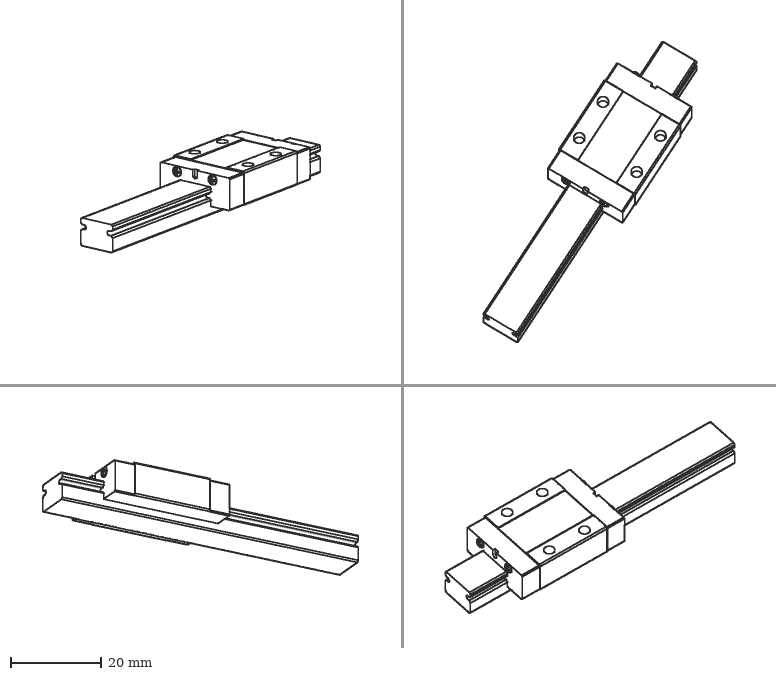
import cadquery as cq
import math


rail_length = 75.0
rail_width = 9.0
rail_height = 6.5
rail_top_chamfer = 0.4
rail_foot_chamfer = 0.4
groove_height = 4.4
groove_radius = 0.5
groove_tip = 3.0
groove_lip = 0.45

carriage_center = 12.5
carriage_bottom = 2.0
steel_length = 19.05
steel_width = 20.0
steel_top = 10.0
steel_chamfer = 0.4
panel_width = 10.05
panel_depth = 0.2
cap_length = 29.0
cap_width = 19.6
cap_top = 9.6
cap_chamfer = 0.26

mount_diameter = 2.5
mount_depth = 3.0
mount_spacing_x = 15.0
mount_spacing_y = 10.0
drill_angle = 118.0

notch_width = 1.2
notch_depth = 0.6
notch_bottom = 7.65

screw_spacing = 10.0
screw_height = 8.3
head_diameter = 2.25
head_rise = 0.7
rim_rise = 0.15
cross_length = 1.65
cross_width = 0.4
cross_depth = 0.4


def rail_section():
    """Rail outline on the XZ plane, with a rounded ball groove in each side."""
    side = rail_width / 2
    arc_center = groove_tip + groove_radius
    groove_top = groove_height + groove_radius
    groove_floor = groove_height - groove_radius
    return (
        cq.Workplane("XZ")
        .moveTo(0, 0)
        .lineTo(side - rail_foot_chamfer, 0)
        .lineTo(side, rail_foot_chamfer)
        .lineTo(side, groove_floor - groove_lip)
        .lineTo(side - groove_lip, groove_floor)
        .lineTo(arc_center, groove_floor)
        .threePointArc((groove_tip, groove_height), (arc_center, groove_top))
        .lineTo(side - groove_lip, groove_top)
        .lineTo(side, groove_top + groove_lip)
        .lineTo(side, rail_height - rail_top_chamfer)
        .lineTo(side - rail_top_chamfer, rail_height)
        .lineTo(0, rail_height)
        .mirrorY()
    )


def make_rail():
    return rail_section().extrude(rail_length / 2, both=True)


def chamfered_bar(width, length, top, chamfer):
    """Bar along Y that stands on the carriage underside, with its long edges chamfered."""
    return (
        cq.Workplane("XY")
        .box(width, length, top - carriage_bottom, centered=(True, True, False))
        .edges("|Y")
        .chamfer(chamfer)
        .translate((0, carriage_center, carriage_bottom))
    )


def sunken_panel():
    return (
        cq.Workplane("XY", origin=(0, carriage_center, steel_top - panel_depth))
        .rect(panel_width, steel_length)
        .extrude(panel_depth)
    )


def mounting_holes():
    """Four blind holes with drill-point bottoms."""
    radius = mount_diameter / 2
    point_depth = radius / math.tan(math.radians(drill_angle / 2))
    hole = (
        cq.Workplane("XZ")
        .polyline([(0, 0), (radius, 0), (radius, -mount_depth), (0, -mount_depth - point_depth)])
        .close()
        .revolve(360, (0, 0, 0), (0, 1, 0))
        .val()
    )
    return (
        cq.Workplane("XY", origin=(0, carriage_center, steel_top))
        .rect(mount_spacing_x, mount_spacing_y, forConstruction=True)
        .vertices()
        .eachpoint(lambda place: hole.moved(place))
    )


def end_notch(end_face, outward):
    """Notch with a round bottom, open to the top of the end cap."""
    radius = notch_width / 2
    arc_height = notch_bottom + radius
    notch = (
        cq.Workplane("XZ", origin=(0, end_face, 0))
        .moveTo(-radius, cap_top)
        .lineTo(-radius, arc_height)
        .threePointArc((0, notch_bottom), (radius, arc_height))
        .lineTo(radius, cap_top)
        .close()
    )
    return notch.extrude(outward * notch_depth)


def screw_head(x, end_face, outward):
    """Domed head with a cross recess, standing out from an end face."""
    radius = head_diameter / 2
    dome_rise = head_rise - rim_rise
    dome_radius = (radius**2 + dome_rise**2) / (2 * dome_rise)
    arc_x = radius / 2
    arc_rise = head_rise - dome_radius + math.sqrt(dome_radius**2 - arc_x**2)
    head = (
        cq.Workplane("XY")
        .moveTo(0, 0)
        .lineTo(radius, 0)
        .lineTo(radius, outward * rim_rise)
        .threePointArc((arc_x, outward * arc_rise), (0, outward * head_rise))
        .close()
        .revolve(360, (0, 0, 0), (0, 1, 0))
    )
    recess_middle = outward * (head_rise - cross_depth / 2)
    for arm_x, arm_z in ((cross_length, cross_width), (cross_width, cross_length)):
        arm = cq.Workplane("XY").box(arm_x, cross_depth, arm_z)
        head = head.cut(arm.translate((0, recess_middle, 0)))
    return head.translate((x, end_face, screw_height))


def make_carriage():
    """Steel block, end caps and screw heads in one solid, with a channel that fits the rail."""
    steel = chamfered_bar(steel_width, steel_length, steel_top, steel_chamfer)
    caps = chamfered_bar(cap_width, cap_length, cap_top, cap_chamfer)
    carriage = steel.cut(sunken_panel()).union(caps).cut(mounting_holes())
    for outward in (-1, 1):
        end_face = carriage_center + outward * cap_length / 2
        carriage = carriage.cut(end_notch(end_face, outward))
        for side in (-1, 1):
            carriage = carriage.union(screw_head(side * screw_spacing / 2, end_face, outward))
    return carriage.cut(make_rail())


rail = make_rail()
carriage = make_carriage()
result = cq.Compound.makeCompound([rail.val(), carriage.val()])